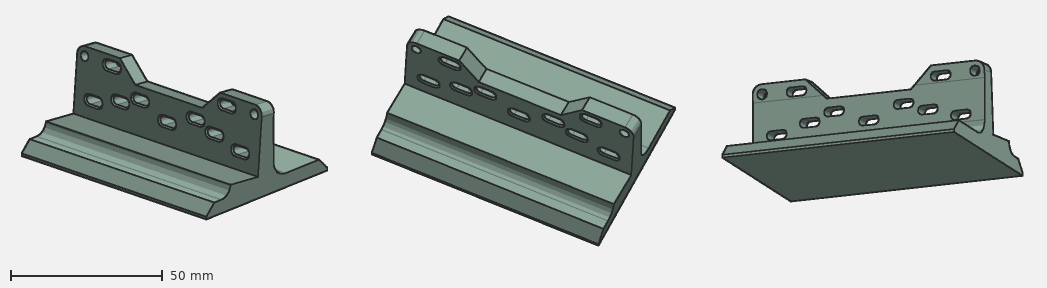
import cadquery as cq
import math

length = 82.75
depth = 58.9
height = 31.9

rim_height = 1.0
rear_floor = 5.05
front_floor = 4.9

lean = math.radians(5)
plate_thickness = 5.95
plate_foot_y = -4.3
plate_foot_z = 7.7
rear_wall_y = 3.2
rear_fillet = 5.95
ledge_length = 13.4
ledge_cove = 4.5

corner_radius = 3.4
notch_bottom_width = 29.95
notch_depth = 7.3
notch_flare = 7.45

hole_diameter = 3.4
slot_width = 3.1
slot_travel = 4.0
slot_chamfer = 0.6
cut_reach = 9.9

paired_slots = [(25.7, 3.7), (12.4, 11.9), (21.1, 14.8), (32.85, 17.8)]
middle_slot = (0.0, 16.3)

plate_height = (height - plate_foot_z) / math.cos(lean)
plate_normal = cq.Vector(0, -math.cos(lean), math.sin(lean))
plate_plane = cq.Plane(
    origin=(0, plate_foot_y, plate_foot_z), xDir=(1, 0, 0), normal=plate_normal
)


def on_section(outward, upward):
    """(Y, Z) of a point given along the plate normal and up the plate from its foot."""
    y = plate_foot_y - outward * math.cos(lean) + upward * math.sin(lean)
    z = plate_foot_z + outward * math.sin(lean) + upward * math.cos(lean)
    return y, z


def make_body():
    """Extrude the constant cross-section along X."""
    half_depth = depth / 2
    rear_chamfer = rear_floor - rim_height
    front_chamfer = front_floor - rim_height

    top_front = on_section(0, plate_height)
    top_rear = on_section(-plate_thickness, plate_height)
    rear_bend_z = top_rear[1] - (top_rear[0] - rear_wall_y) / math.tan(lean)

    ledge_end = on_section(ledge_length, 0)
    cove_z = front_floor + ledge_cove
    cove_y = ledge_end[0] - math.sqrt(ledge_cove**2 - (ledge_end[1] - cove_z) ** 2)
    cove_middle = (
        cove_y + ledge_cove * math.cos(math.radians(45)),
        cove_z - ledge_cove * math.sin(math.radians(45)),
    )

    return (
        cq.Workplane("YZ", origin=(-length / 2, 0, 0))
        .moveTo(-half_depth, 0)
        .lineTo(half_depth, 0)
        .lineTo(half_depth, rim_height)
        .lineTo(half_depth - rear_chamfer, rear_floor)
        .lineTo(rear_wall_y + rear_fillet, rear_floor)
        .radiusArc((rear_wall_y, rear_floor + rear_fillet), rear_fillet)
        .lineTo(rear_wall_y, rear_bend_z)
        .lineTo(*top_rear)
        .lineTo(*top_front)
        .lineTo(plate_foot_y, plate_foot_z)
        .lineTo(*ledge_end)
        .threePointArc(cove_middle, (cove_y, front_floor))
        .lineTo(front_chamfer - half_depth, front_floor)
        .lineTo(-half_depth, rim_height)
        .close()
        .extrude(length)
    )


def round_top_corners(body):
    """Round the two upper corners of the plate."""
    across_plate = cq.selectors.ParallelDirSelector(plate_normal)
    return body.edges(across_plate).edges(">Z").fillet(corner_radius)


def make_notch():
    """Flared cut in the middle of the plate's top edge."""
    half_bottom = notch_bottom_width / 2
    half_top = half_bottom + notch_flare
    bottom = plate_height - notch_depth
    return (
        cq.Workplane(plate_plane)
        .polyline([
            (-half_bottom, bottom),
            (half_bottom, bottom),
            (half_top, plate_height),
            (-half_top, plate_height),
        ])
        .close()
        .extrude(cut_reach, both=True)
    )


def make_corner_holes():
    """Round holes concentric with the rounded corners."""
    hole_x = length / 2 - corner_radius
    hole_up = plate_height - corner_radius
    return (
        cq.Workplane(plate_plane)
        .pushPoints([(-hole_x, hole_up), (hole_x, hole_up)])
        .circle(hole_diameter / 2)
        .extrude(-cut_reach)
    )


def make_slots():
    """Through slots with a chamfered rim on the front face."""
    mirrored = [(side * x, down) for x, down in paired_slots for side in (-1, 1)]
    centres = [(x, plate_height - down) for x, down in mirrored + [middle_slot]]
    rim_width = slot_width + 2 * slot_chamfer
    through = (
        cq.Workplane(plate_plane)
        .pushPoints(centres)
        .slot2D(slot_travel + slot_width, slot_width)
        .extrude(-cut_reach)
    )
    rims = (
        cq.Workplane(plate_plane)
        .pushPoints(centres)
        .slot2D(slot_travel + rim_width, rim_width)
        .extrude(-slot_chamfer, taper=45)
    )
    return through.union(rims)


result = (
    round_top_corners(make_body())
    .cut(make_notch())
    .cut(make_corner_holes())
    .cut(make_slots())
)